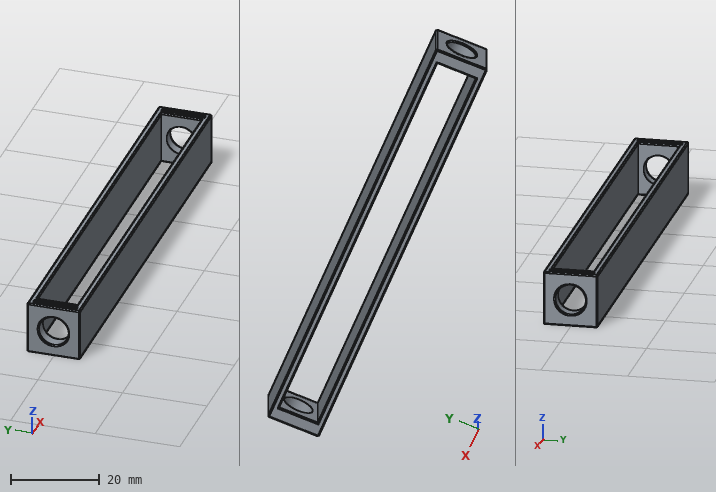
import cadquery as cq

length = 96.9
side = 12.5
edge_chamfer = 0.3

end_wall = 3.1
side_wall = 1.55
opening_length = length - 2 * end_wall
opening_width = side - 2 * side_wall

hole_diameter = 7.0

slot_length = 10.3
slot_width = 1.0
slot_depth = 0.2
slot_inset = 1.55


def chamfered_bar():
    """Square bar with every outer edge broken."""
    return cq.Workplane("XY").box(length, side, side).edges().chamfer(edge_chamfer)


def opening_cutter():
    """Straight opening that flares out at the top and bottom faces."""
    rim_length = opening_length + 2 * edge_chamfer
    rim_width = opening_width + 2 * edge_chamfer
    cutter = cq.Workplane("XY").box(opening_length, opening_width, side)
    flare = (
        cq.Workplane("XY", origin=(0, 0, side / 2 - edge_chamfer))
        .rect(opening_length, opening_width)
        .workplane(offset=edge_chamfer)
        .rect(rim_length, rim_width)
        .loft(ruled=True)
    )
    return cutter.union(flare).union(flare.mirror("XY"))


def hole_cutter():
    """Cylinder along X with a conical flare at each end face."""
    radius = hole_diameter / 2
    half_length = length / 2
    half_profile = (
        cq.Workplane("XY")
        .polyline(
            [
                (0, 0),
                (0, radius),
                (half_length - edge_chamfer, radius),
                (half_length, radius + edge_chamfer),
                (half_length, 0),
            ]
        )
        .close()
    )
    half = half_profile.revolve(360, (0, 0, 0), (1, 0, 0))
    return half.union(half.mirror("YZ"))


def slot_cutters():
    """One crosswise slot in the top of each end wall."""
    slot_x = length / 2 - slot_inset
    return (
        cq.Workplane("XY", origin=(0, 0, side / 2 - slot_depth))
        .pushPoints([(-slot_x, 0), (slot_x, 0)])
        .rect(slot_width, slot_length)
        .extrude(slot_depth)
    )


result = chamfered_bar().cut(opening_cutter()).cut(hole_cutter()).cut(slot_cutters())